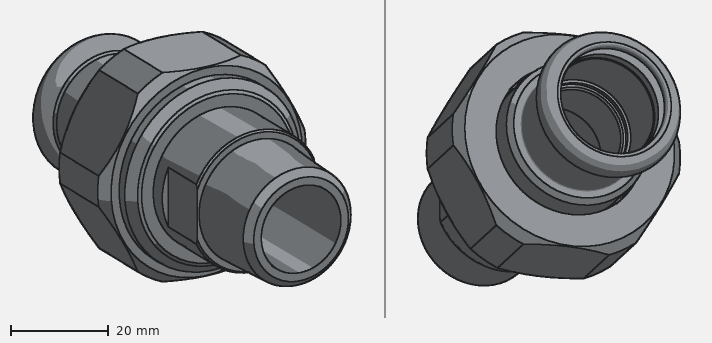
import cadquery as cq
import math

total_length = 83.0
bore_radius = 19.0 / 2
nut_start = 26.5
nut_end = 45.7
nut_lip_thickness = 3.9
flange_thickness = 3.3
seat_start = nut_start + nut_lip_thickness
joint_x = seat_start + flange_thickness

mouth_radius = 22.8 / 2
socket_radius = 22.3 / 2
stop_radius = 21.0 / 2
neck_radius = 25.3 / 2
collar_radius = 31.0 / 2
flange_radius = 38.9 / 2
bead_center = 3.6
bead_arc_radius = 3.15
bead_front_x = 0.8
bead_back_x = 6.6
bead_foot_x = 7.4
bead_face_radius = 12.4
lip_depth = bead_face_radius - mouth_radius
groove_start = 1.4
groove_end = 5.0
groove_shoulder_radius = 12.7
groove_radius = 14.1
socket_start = 7.2
collar_start = 20.7
collar_chamfer = 1.2
neck_fillet = 0.6
stop_length = 1.0
bore_chamfer = 0.4

across_flats = 46.0
across_corners = 49.6
nut_chamfer = 2.0
nut_lip_bore_radius = 32.0 / 2

union_thread_radius = 41.8 / 2
union_thread_chamfer = (41.8 - 38.0) / 2
union_thread_end = 49.9
union_relief_depth = 0.75
union_relief_width = 0.3
shank_radius = collar_radius
shank_end = 65.2
shank_chamfer = 0.4
taper_start_radius = 13.6
taper_end_radius = 12.9
taper_end_chamfer = 1.6
flat_start = 53.8
flat_distance = 14.0


def revolve_about_x(profile):
    """Turn a profile drawn as (x, radius) about the X axis."""
    return profile.close().revolve(360, (0, 0, 0), (1, 0, 0))


def bead_radius_at(x):
    """Radius of the rounded bead at a place along the axis."""
    arc_height = math.sqrt(bead_arc_radius**2 - (x - bead_center) ** 2)
    return collar_radius - bead_arc_radius + arc_height


def make_press_end():
    diagonal = math.sqrt(0.5)
    lip_middle = (
        lip_depth * (1 - diagonal),
        bead_face_radius - lip_depth * diagonal,
    )
    fillet_middle = (
        collar_start - neck_fillet * (1 - diagonal),
        neck_radius + neck_fillet * (1 - diagonal),
    )
    outside = (
        cq.Workplane("XY")
        .moveTo(lip_depth, mouth_radius)
        .threePointArc(lip_middle, (0, bead_face_radius))
        .lineTo(bead_front_x, bead_radius_at(bead_front_x))
        .threePointArc(
            (bead_center, collar_radius),
            (bead_back_x, bead_radius_at(bead_back_x)),
        )
        .lineTo(bead_foot_x, neck_radius)
        .lineTo(collar_start - neck_fillet, neck_radius)
        .threePointArc(fillet_middle, (collar_start, neck_radius + neck_fillet))
        .lineTo(collar_start, collar_radius - collar_chamfer)
        .lineTo(collar_start + collar_chamfer, collar_radius)
        .lineTo(seat_start, collar_radius)
        .lineTo(seat_start, flange_radius)
        .lineTo(joint_x, flange_radius)
    )
    profile = (
        outside
        .lineTo(joint_x, bore_radius)
        .lineTo(collar_start + stop_length + bore_chamfer, bore_radius)
        .lineTo(collar_start + stop_length, bore_radius + bore_chamfer)
        .lineTo(collar_start + stop_length, stop_radius)
        .lineTo(collar_start, stop_radius)
        .lineTo(collar_start, socket_radius)
        .lineTo(socket_start, socket_radius)
        .lineTo(socket_start, mouth_radius)
        .lineTo(groove_end, mouth_radius)
        .lineTo(groove_end, groove_shoulder_radius)
        .threePointArc(
            ((groove_start + groove_end) / 2, groove_radius),
            (groove_start, groove_shoulder_radius),
        )
        .lineTo(groove_start, mouth_radius)
    )
    return revolve_about_x(profile)


def make_nut():
    corner_radius = across_corners / 2
    hex_corner_diameter = across_flats / math.cos(math.pi / 6)
    hexagon = (
        cq.Workplane("YZ", origin=(nut_start, 0, 0))
        .polygon(6, hex_corner_diameter)
        .extrude(nut_end - nut_start)
    )
    corner_envelope = (
        cq.Workplane("YZ", origin=(nut_start, 0, 0))
        .circle(corner_radius)
        .extrude(nut_end - nut_start)
        .faces("<X or >X")
        .chamfer(nut_chamfer)
    )
    lip_hole = (
        cq.Workplane("YZ", origin=(nut_start, 0, 0))
        .circle(nut_lip_bore_radius)
        .extrude(nut_lip_thickness)
    )
    thread_hole = (
        cq.Workplane("YZ", origin=(seat_start, 0, 0))
        .circle(union_thread_radius)
        .extrude(nut_end - seat_start)
    )
    return hexagon.intersect(corner_envelope).cut(lip_hole).cut(thread_hole)


def make_tail():
    thread_face_radius = union_thread_radius - union_thread_chamfer
    profile = (
        cq.Workplane("XY")
        .moveTo(joint_x, bore_radius)
        .lineTo(joint_x, union_thread_radius)
        .lineTo(union_thread_end - union_thread_chamfer, union_thread_radius)
        .lineTo(union_thread_end, thread_face_radius)
        .lineTo(union_thread_end + union_relief_width, thread_face_radius - union_relief_depth)
        .lineTo(union_thread_end + union_relief_width, shank_radius)
        .lineTo(shank_end - shank_chamfer, shank_radius)
        .lineTo(shank_end, shank_radius - shank_chamfer)
        .lineTo(shank_end, taper_start_radius)
        .lineTo(total_length - taper_end_chamfer, taper_end_radius)
        .lineTo(total_length, taper_end_radius - taper_end_chamfer)
        .lineTo(total_length, bore_radius)
    )
    tail = revolve_about_x(profile)

    flat_length = shank_end - flat_start
    flat_depth = shank_radius - flat_distance
    for side in (-1, 1):
        flat_cut = cq.Workplane("XY").box(flat_length, flat_depth, 2 * shank_radius).translate(
            (flat_start + flat_length / 2, side * (flat_distance + flat_depth / 2), 0)
        )
        tail = tail.cut(flat_cut)
    return tail


press_end = make_press_end()
nut = make_nut()
tail = make_tail()

result = cq.Compound.makeCompound([press_end.val(), nut.val(), tail.val()])